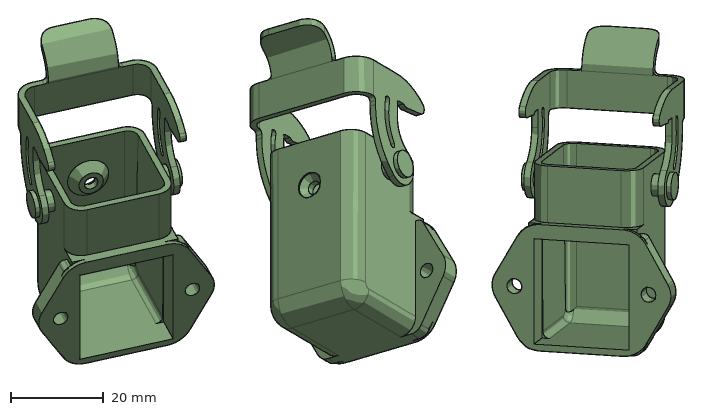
import cadquery as cq
import math


SHELL_SIZE = 24.25
SHELL_HEIGHT = 40.5
WALL = 1.5
SHELL_CORNER_R = 3.85
FRONT_BOTTOM_R = 5.0
CAVITY_FRONT_R = 3.0
CAVITY_SIDE_R = 1.5
REAR_OPENING_TOP_Z = 24.75
SIDE_DRAFT = 0.25

FLANGE_HEIGHT = 27.95
FLANGE_STEP = 1.5
EAR_THICKNESS = 3.0
REAR_LAYER = 1.0
REAR_X = 14.4
EAR_HOLE_Y = 15.05
EAR_HOLE_D = 3.3
EAR_TIP_R = 5.0
EAR_SLOPE = math.radians(30)
EAR_TOP_R = 1.5
EAR_BOTTOM_R = 3.0
REAR_LAYER_R = 6.0

SCREW_Z = 29.8
SCREW_D = 3.0
COUNTERSINK_D = 5.8
COUNTERSINK_RECESS = 0.4
BOSS_BASE_D = 9.4
BOSS_TIP_D = 5.5
BOSS_HEIGHT = 2.0

PIVOT_Z = 35.0
PEG_D = 4.8
PEG_HEAD_D = 6.0
PEG_HEAD_LENGTH = 1.0

SHEET = 1.5
LEVER_WIDTH = 31.5
LEVER_FRONT_X = -15.05
LEVER_BEND_R = 4.5
LEVER_TOP_Z = 55.95
BAND_BOTTOM_Z = 47.5
BAND_FILLET_R = 0.95
PIVOT_EYE_R = 4.5
ARM_FRONT_R = 18.0
ARM_REAR_R = 8.0
ARM_REAR_X = -1.5
SLOT_R = 12.0
SLOT_WIDTH = 1.5
SLOT_TOP_Z = 48.55
SLOT_BOTTOM_Z = 38.65

HOOK_START_X = -1.8
HOOK_BACK_R = 15.0
HOOK_TIP_R = 1.5
HOOK_TIP_Z = 51.2
HOOK_ROOT_Z = 49.7
HOOK_ROOT_R = 0.4
HOOK_ROOT_END_X = 0.8
BUMP_START = (1.5, 49.3)
BUMP_LOW = (1.85, 49.2)
BUMP_END = (2.4, 49.25)

TAB_WIDTH = 16.0
TAB_OUTER_R = 8.35
TAB_TIP_X = -21.7
TAB_CORNER_R = 4.0
TAB_ROOT_R = 1.0

HALF_SHELL = SHELL_SIZE / 2
CAVITY_SIZE = SHELL_SIZE - 2 * WALL
HALF_CAVITY = CAVITY_SIZE / 2
FLANGE_MID_Z = FLANGE_HEIGHT / 2
REAR_LAYER_X = REAR_X - REAR_LAYER
EAR_FRONT_X = REAR_LAYER_X - EAR_THICKNESS
CORNER_START_X = HALF_SHELL - SHELL_CORNER_R
HALF_LEVER = LEVER_WIDTH / 2


def block(x_min, x_max, width, z_min, z_max):
    """Box between two X and two Z values, centred on Y = 0."""
    return cq.Workplane("XY").box(
        x_max - x_min, width, z_max - z_min, centered=(False, True, False)
    ).translate((x_min, 0, z_min))


def bar_along_y(outline, width):
    """Prism of an XZ outline, centred on Y = 0."""
    return outline.extrude(width).translate((0, width / 2, 0))


def rod_along_y(diameter, start, end, z):
    """Cylinder along Y at X = 0."""
    return cq.Workplane("XZ", origin=(0, start, z)).circle(diameter / 2).extrude(start - end)



def shell_body():
    """Outer form: rounded front and underside, square shoulder below the flange top.

    The corner fillet runs from each upright front edge into the lower side edge.
    """
    body = block(-HALF_SHELL, REAR_LAYER_X, SHELL_SIZE, 0, SHELL_HEIGHT)
    body = body.edges("<X and <Z").fillet(FRONT_BOTTOM_R)
    body = body.faces("<X").edges("|Z").fillet(SHELL_CORNER_R)
    upper_rear = block(0, REAR_X, SHELL_SIZE, FLANGE_HEIGHT, SHELL_HEIGHT)
    upper_shell = block(-HALF_SHELL, HALF_SHELL, SHELL_SIZE, FLANGE_HEIGHT, SHELL_HEIGHT)
    upper_shell = upper_shell.edges("|Z").fillet(SHELL_CORNER_R)
    return body.cut(upper_rear.cut(upper_shell))


def flange_plate(x_front, thickness, top_z, top_r, bottom_r):
    """Six-sided plate with rounded tips at the ear holes."""
    def edge_y(z):
        lean = abs(z - FLANGE_MID_Z) * math.sin(EAR_SLOPE)
        return EAR_HOLE_Y + (EAR_TIP_R - lean) / math.cos(EAR_SLOPE)

    half = [(edge_y(0), 0), (edge_y(FLANGE_MID_Z), FLANGE_MID_Z), (edge_y(top_z), top_z)]
    mirrored = [(-y, z) for y, z in reversed(half)]
    plate = cq.Workplane("YZ", origin=(x_front, 0, 0)).polyline(half + mirrored).close()
    plate = plate.extrude(thickness)
    plate = plate.edges("|X and >Y or |X and <Y").fillet(EAR_TIP_R)
    plate = plate.faces(">Z").edges("|X").fillet(top_r)
    return plate.faces("<Z").edges("|X").fillet(bottom_r)


def cavity():
    """Open-topped socket with a rounded floor, and the cable opening through the back."""
    socket = block(-HALF_CAVITY, HALF_CAVITY, CAVITY_SIZE, WALL, SHELL_HEIGHT)
    socket = socket.edges("|Z").fillet(SHELL_CORNER_R - WALL)
    floor_half = HALF_CAVITY - SIDE_DRAFT
    section = [
        (-floor_half, WALL),
        (floor_half, WALL),
        (HALF_CAVITY, SHELL_HEIGHT),
        (-HALF_CAVITY, SHELL_HEIGHT),
    ]
    drafted = cq.Workplane("YZ", origin=(-HALF_CAVITY, 0, 0)).polyline(section).close()
    drafted = drafted.extrude(CAVITY_SIZE)
    drafted = drafted.edges("<X and <Z").fillet(CAVITY_FRONT_R)
    drafted = drafted.faces("<Z").edges("<Y or >Y").fillet(CAVITY_SIDE_R)
    rear_opening = block(CORNER_START_X, REAR_X, CAVITY_SIZE, WALL, REAR_OPENING_TOP_Z)
    return socket.intersect(drafted).union(rear_opening)


def screw_boss():
    """Conical boss on the inside of the front wall."""
    start = -HALF_CAVITY - WALL / 2
    profile = [
        (start, 0),
        (start, BOSS_BASE_D / 2),
        (-HALF_CAVITY, BOSS_BASE_D / 2),
        (-HALF_CAVITY + BOSS_HEIGHT, BOSS_TIP_D / 2),
        (-HALF_CAVITY + BOSS_HEIGHT, 0),
    ]
    boss = cq.Workplane("XY").polyline(profile).close().revolve(360, (0, 0, 0), (1, 0, 0))
    return boss.translate((0, 0, SCREW_Z))


def peg(side):
    """Headed pivot peg on one side wall; side is +1 or -1."""
    shaft = rod_along_y(PEG_D, side * (HALF_SHELL - WALL / 2), side * HALF_LEVER, PIVOT_Z)
    head_end = HALF_LEVER + PEG_HEAD_LENGTH
    head = rod_along_y(PEG_HEAD_D, side * HALF_LEVER, side * head_end, PIVOT_Z)
    return shaft.union(head)


def make_housing():
    housing = shell_body()
    ears = flange_plate(
        EAR_FRONT_X, EAR_THICKNESS, FLANGE_HEIGHT - FLANGE_STEP, EAR_TOP_R, EAR_BOTTOM_R
    )
    rear_layer = flange_plate(REAR_LAYER_X, REAR_LAYER, FLANGE_HEIGHT, REAR_LAYER_R, REAR_LAYER_R)
    housing = housing.union(ears).union(rear_layer)
    housing = housing.cut(cavity()).union(screw_boss())
    for side in (-1, 1):
        housing = housing.union(peg(side))
    ear_holes = (
        cq.Workplane("YZ", origin=(EAR_FRONT_X, 0, FLANGE_MID_Z))
        .pushPoints([(-EAR_HOLE_Y, 0), (EAR_HOLE_Y, 0)])
        .circle(EAR_HOLE_D / 2)
        .extrude(EAR_THICKNESS + REAR_LAYER)
    )
    screw_hole = cq.Workplane("YZ", origin=(-HALF_SHELL, 0, SCREW_Z)).circle(SCREW_D / 2)
    screw_hole = screw_hole.extrude(WALL + BOSS_HEIGHT)
    recess_floor_x = -HALF_SHELL + COUNTERSINK_RECESS
    recess = cq.Workplane("YZ", origin=(-HALF_SHELL, 0, SCREW_Z)).circle(COUNTERSINK_D / 2)
    recess = recess.extrude(COUNTERSINK_RECESS)
    countersink = cq.Solid.makeCone(
        COUNTERSINK_D / 2,
        SCREW_D / 2,
        (COUNTERSINK_D - SCREW_D) / 2,
        cq.Vector(recess_floor_x, 0, SCREW_Z),
        cq.Vector(1, 0, 0),
    )
    return housing.cut(ear_holes).cut(screw_hole).cut(recess).cut(cq.Workplane(countersink))



ARM_CENTRE_X = ARM_REAR_X + ARM_REAR_R
ARM_CENTRE_Z = PIVOT_Z + math.sqrt((ARM_REAR_R + PIVOT_EYE_R) ** 2 - ARM_CENTRE_X**2)
ARM_RISE = ARM_CENTRE_Z - PIVOT_Z
ARM_FRONT_CENTRE_X = math.sqrt((ARM_FRONT_R - PIVOT_EYE_R) ** 2 - ARM_RISE**2)
ARM_FRONT_X = ARM_FRONT_CENTRE_X - ARM_FRONT_R


def on_circle(centre, radius, angle):
    """Point on a circle at an angle measured from +X towards +Z."""
    return (centre[0] + radius * math.cos(angle), centre[1] + radius * math.sin(angle))


def side_outline():
    """XZ outline of band, arm, pivot eye and hook."""
    eye = (0, PIVOT_Z)
    front_centre = (ARM_FRONT_CENTRE_X, ARM_CENTRE_Z)
    front_lean = math.atan2(ARM_RISE, ARM_FRONT_CENTRE_X)
    front_mid = on_circle(front_centre, ARM_FRONT_R, math.pi + front_lean / 2)
    eye_front = on_circle(eye, PIVOT_EYE_R, math.pi + front_lean)

    rear_centre = (ARM_CENTRE_X, ARM_CENTRE_Z)
    neck_angle = math.atan2(ARM_RISE, ARM_CENTRE_X)
    eye_far = on_circle(eye, PIVOT_EYE_R, (neck_angle + front_lean - math.pi) / 2)
    neck = on_circle(eye, PIVOT_EYE_R, neck_angle)
    rear_mid = on_circle(rear_centre, ARM_REAR_R, math.pi + neck_angle / 2)

    back_centre = (HOOK_START_X, LEVER_TOP_Z - HOOK_BACK_R)
    tip_angle = math.asin((HOOK_TIP_Z - back_centre[1]) / (HOOK_BACK_R - HOOK_TIP_R))
    tip_centre = on_circle(back_centre, HOOK_BACK_R - HOOK_TIP_R, tip_angle)
    tip_top = on_circle(tip_centre, HOOK_TIP_R, tip_angle)
    to_bump = math.atan2(tip_centre[1] - BUMP_END[1], tip_centre[0] - BUMP_END[0])
    bump_distance = math.hypot(tip_centre[0] - BUMP_END[0], tip_centre[1] - BUMP_END[1])
    underside_angle = to_bump - math.asin(HOOK_TIP_R / bump_distance) - math.pi / 2
    tip_low = on_circle(tip_centre, HOOK_TIP_R, underside_angle)
    tip_mid = on_circle(tip_centre, HOOK_TIP_R, (tip_angle + underside_angle) / 2)
    back_mid = on_circle(back_centre, HOOK_BACK_R, (tip_angle + math.pi / 2) / 2)

    return (
        cq.Workplane("XZ")
        .moveTo(LEVER_FRONT_X, LEVER_TOP_Z)
        .lineTo(LEVER_FRONT_X, BAND_BOTTOM_Z)
        .lineTo(ARM_FRONT_X, BAND_BOTTOM_Z)
        .lineTo(ARM_FRONT_X, ARM_CENTRE_Z)
        .threePointArc(front_mid, eye_front)
        .threePointArc(eye_far, neck)
        .threePointArc(rear_mid, (ARM_REAR_X, ARM_CENTRE_Z))
        .lineTo(ARM_REAR_X, HOOK_ROOT_Z)
        .lineTo(HOOK_ROOT_END_X, HOOK_ROOT_Z)
        .lineTo(*BUMP_START)
        .threePointArc(BUMP_LOW, BUMP_END)
        .lineTo(*tip_low)
        .threePointArc(tip_mid, tip_top)
        .threePointArc(back_mid, (HOOK_START_X, LEVER_TOP_Z))
        .close()
    )


def side_form():
    """Full-width prism of the side outline with its two small inner corners rounded."""
    form = bar_along_y(side_outline(), LEVER_WIDTH)
    corners = [
        ((ARM_FRONT_X, BAND_BOTTOM_Z), BAND_FILLET_R),
        ((ARM_REAR_X, HOOK_ROOT_Z), HOOK_ROOT_R),
    ]
    for (x, z), radius in corners:
        form = form.edges(cq.selectors.NearestToPointSelector((x, 0, z))).fillet(radius)
    return form


def bent_sheet():
    """U-shaped sheet that wraps the housing, taller than the lever."""
    reach = HALF_SHELL
    low = PIVOT_Z - 2 * PIVOT_EYE_R
    outer = block(LEVER_FRONT_X, reach, LEVER_WIDTH, low, LEVER_TOP_Z)
    outer = outer.faces("<X").edges("|Z").fillet(LEVER_BEND_R)
    inner = block(LEVER_FRONT_X + SHEET, reach, LEVER_WIDTH - 2 * SHEET, low, LEVER_TOP_Z)
    inner = inner.faces("<X").edges("|Z").fillet(LEVER_BEND_R - SHEET)
    return outer.cut(inner)


def arm_slots():
    """Curved slot with round ends, through both arms."""
    def slot_point(radius, angle):
        return on_circle((ARM_CENTRE_X, ARM_CENTRE_Z), radius, angle)

    top = math.pi - math.asin((SLOT_TOP_Z - ARM_CENTRE_Z) / SLOT_R)
    bottom = math.pi - math.asin((SLOT_BOTTOM_Z - ARM_CENTRE_Z) / SLOT_R)
    middle = (top + bottom) / 2
    end_turn = SLOT_WIDTH / 2 / SLOT_R
    outer_r = SLOT_R + SLOT_WIDTH / 2
    inner_r = SLOT_R - SLOT_WIDTH / 2
    outline = (
        cq.Workplane("XZ")
        .moveTo(*slot_point(outer_r, top))
        .threePointArc(slot_point(outer_r, middle), slot_point(outer_r, bottom))
        .threePointArc(slot_point(SLOT_R, bottom + end_turn), slot_point(inner_r, bottom))
        .threePointArc(slot_point(inner_r, middle), slot_point(inner_r, top))
        .threePointArc(slot_point(SLOT_R, top - end_turn), slot_point(outer_r, top))
        .close()
    )
    return bar_along_y(outline, LEVER_WIDTH)


def thumb_tab():
    """Tab that rises from the band and curls forward, with rounded free corners."""
    inner_x = LEVER_FRONT_X + SHEET
    tab_top = LEVER_TOP_Z + TAB_OUTER_R
    curl = cq.Workplane("XZ", origin=(inner_x - TAB_OUTER_R, 0, LEVER_TOP_Z))
    curl = bar_along_y(curl.circle(TAB_OUTER_R).circle(TAB_OUTER_R - SHEET), TAB_WIDTH)
    plan = block(TAB_TIP_X, inner_x, TAB_WIDTH, LEVER_TOP_Z, tab_top)
    plan = plan.faces("<X").edges("|Z").fillet(TAB_CORNER_R)
    return curl.intersect(plan)


def tab_root(side):
    """Concave fillet between the tab edge and the top of the band; side is +1 or -1."""
    edge = side * TAB_WIDTH / 2
    far = edge + side * TAB_ROOT_R
    top = LEVER_TOP_Z + TAB_ROOT_R
    sagitta = TAB_ROOT_R * (1 - math.sqrt(0.5))
    return (
        cq.Workplane("YZ", origin=(LEVER_FRONT_X, 0, 0))
        .moveTo(edge, LEVER_TOP_Z)
        .lineTo(far, LEVER_TOP_Z)
        .threePointArc((edge + side * sagitta, LEVER_TOP_Z + sagitta), (edge, top))
        .close()
        .extrude(SHEET)
    )


def make_lever():
    lever = bent_sheet().intersect(side_form()).cut(arm_slots()).union(thumb_tab())
    for side in (-1, 1):
        lever = lever.union(tab_root(side))
    return lever.cut(rod_along_y(PEG_D, -HALF_LEVER, HALF_LEVER, PIVOT_Z))


housing = make_housing()
lever = make_lever()

result = cq.Compound.makeCompound([housing.val(), lever.val()])